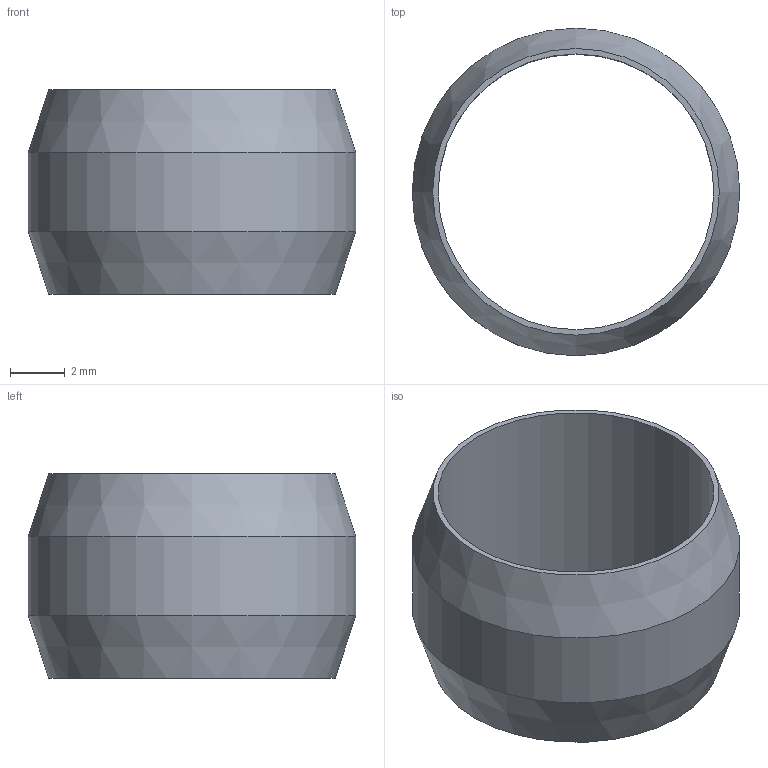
import cadquery as cq

bore_diameter = 10.1
band_diameter = 12.0
rim_diameter = 10.5
total_height = 7.5
taper_height = 2.3

bore_radius = bore_diameter / 2
band_radius = band_diameter / 2
rim_radius = rim_diameter / 2
half_height = total_height / 2
band_half_height = half_height - taper_height


def wall_section():
    """Half section of the wall in the XZ plane, symmetric about Z = 0."""
    return (
        cq.Workplane("XZ")
        .moveTo(bore_radius, -half_height)
        .lineTo(rim_radius, -half_height)
        .lineTo(band_radius, -band_half_height)
        .lineTo(band_radius, band_half_height)
        .lineTo(rim_radius, half_height)
        .lineTo(bore_radius, half_height)
        .close()
    )


result = wall_section().revolve(360, (0, 0, 0), (0, 1, 0))